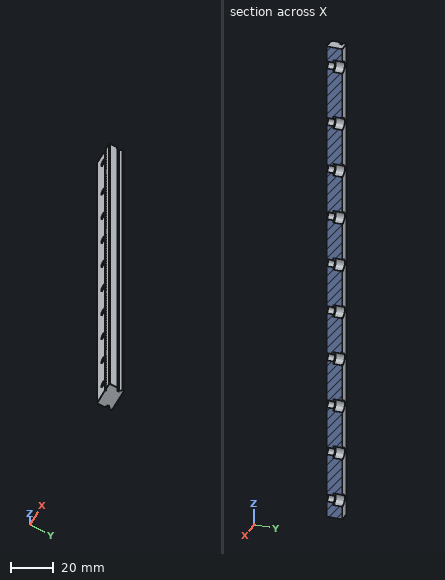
import cadquery as cq
import math

rail_width = 11.97
rail_height = 8.0
rail_length = 250.0
edge_chamfer = 0.45

groove_height = 5.5
groove_opening = 2.7
arch_radius = 1.6
arch_axis_shift = 0.15
slot_width = 0.7
slot_depth = 1.55

mark_radius = 0.4
mark_x = 2.0

hole_diameter = 3.5
counterbore_diameter = 6.0
counterbore_depth = 4.5
end_distance = 10.0
hole_pitch = 25.0
evenly_spaced_holes = 9
last_hole_spacing = 30.0

half_width = rail_width / 2
half_height = rail_height / 2
half_length = rail_length / 2


def rail_body():
    body = cq.Workplane("XY").box(rail_width, rail_height, rail_length)
    return body.edges("|Z").chamfer(edge_chamfer)


def lengthwise_rod(x, y, radius):
    """Round rod along the whole rail, used to shape a groove."""
    base = cq.Workplane("XY", origin=(x, y, -half_length))
    return base.circle(radius).extrude(rail_length)


def arch_depth(offset):
    """Depth of the arch below the side face at a distance from the groove centre."""
    lip_reach = groove_opening / 2 + arch_axis_shift
    axis_height = math.sqrt(arch_radius**2 - lip_reach**2)
    return math.sqrt(arch_radius**2 - (offset + arch_axis_shift) ** 2) - axis_height


def ball_groove(side):
    """Volume of the ball groove on one side: -1 for the -X side, 1 for the +X side."""

    def point(offset, depth):
        return (side * (half_width - depth), groove_height - half_height + offset)

    lip = groove_opening / 2
    slot_edge = slot_width / 2
    middle = (lip + slot_edge) / 2
    profile = (
        cq.Workplane("XY", origin=(0, 0, -half_length))
        .moveTo(*point(lip, 0))
        .threePointArc(point(middle, arch_depth(middle)), point(slot_edge, arch_depth(slot_edge)))
        .lineTo(*point(slot_edge, slot_depth))
        .lineTo(*point(-slot_edge, slot_depth))
        .lineTo(*point(-slot_edge, arch_depth(slot_edge)))
        .threePointArc(point(-middle, arch_depth(middle)), point(-lip, 0))
        .close()
    )
    return profile.extrude(rail_length)


def reference_mark():
    return lengthwise_rod(mark_x, -half_height, mark_radius)


def hole_positions():
    """Z of each hole: even pitch from the lower end, then one wider spacing to the top hole."""
    positions = [end_distance - half_length + i * hole_pitch for i in range(evenly_spaced_holes)]
    positions.append(positions[-1] + last_hole_spacing)
    return positions


def cut_screw_holes(rail):
    top_face = cq.Workplane("XZ", origin=(0, half_height, 0))
    centres = top_face.pushPoints([(0, z) for z in hole_positions()])
    holes = centres.circle(hole_diameter / 2).extrude(rail_height)
    counterbores = centres.circle(counterbore_diameter / 2).extrude(counterbore_depth)
    return rail.cut(holes).cut(counterbores)


rail = rail_body()
for side in (-1, 1):
    rail = rail.cut(ball_groove(side))
rail = rail.cut(reference_mark())
result = cut_screw_holes(rail)